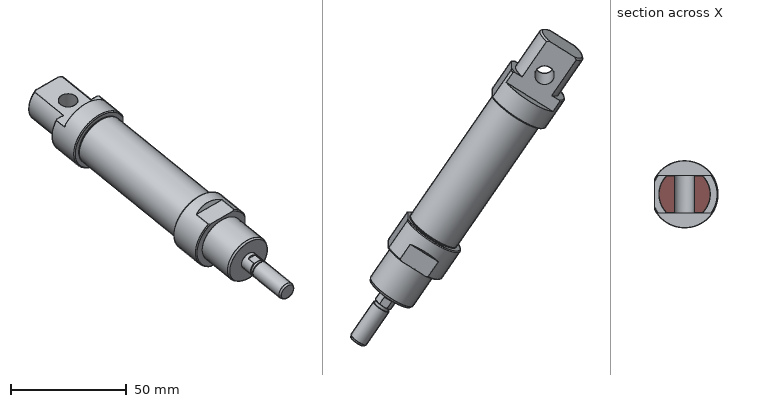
import cadquery as cq
import math


REAR_CAP_START = 20.0
CLEVIS_FLAT_END = 25.8
BARREL_START = 35.9
BARREL_END = 101.1
FRONT_CAP_END = 117.0
NOSE_END = 134.9
ROD_GROOVE_START = 140.9
ROD_THREAD_START = 142.3
ROD_END = 161.0

CAP_RADIUS = 14.5
BARREL_RADIUS = 12.0
NECK_RADIUS = 11.1
ROD_RADIUS = 4.0
ROD_GROOVE_RADIUS = 3.5

CAP_CHAMFER = 0.5
TONGUE_CHAMFER = 0.8
END_CHAMFER_LENGTH = 1.0
END_CHAMFER_DEPTH = 0.5

COLLAR_LENGTH = 0.5

CAP_SIDE_FLAT = 13.0
CLEVIS_HALF_HEIGHT = 8.0
CLEVIS_HOLE_DIAMETER = 8.4
CLEVIS_HOLE_X = 14.0
CAP_WRENCH_HALF_HEIGHT = 12.5
CAP_WRENCH_START = 108.5
ROD_WRENCH_HALF_HEIGHT = 3.5
ROD_WRENCH_START = 137.0
WRENCH_SHOULDER_ANGLE = 60.0


def cylinder(start, end, radius):
    """Round bar on the X axis between two stations."""
    return cq.Workplane("YZ", origin=(start, 0, 0)).circle(radius).extrude(end - start)


def chamfered_tip(bar):
    """Bar with a long, shallow chamfer around its +X end."""
    return bar.faces(">X").edges().chamfer(END_CHAMFER_LENGTH, END_CHAMFER_DEPTH)


def wrench_flats(start, end, half_height):
    """Pair of flats above and below the axis, each with a sloping shoulder at its inner end."""
    height = CAP_RADIUS
    shoulder_run = height / math.tan(math.radians(WRENCH_SHOULDER_ANGLE))
    upper = (
        cq.Workplane("XZ")
        .moveTo(start, half_height)
        .lineTo(end, half_height)
        .lineTo(end, half_height + height)
        .lineTo(start - shoulder_run, half_height + height)
        .close()
        .extrude(CAP_RADIUS, both=True)
    )
    return upper.union(upper.mirror("XY"))


def side_flat(start, end):
    """Material beyond the flat on the +Y side of a cap."""
    block = cq.Workplane("XY").box(end - start, CAP_RADIUS, 2 * CAP_RADIUS, centered=(False, False, True))
    return block.translate((start, CAP_SIDE_FLAT, 0))


def clevis_flats():
    """Material above and below the clevis tongue, removed back to a square shoulder in the cap."""
    width = 2 * CAP_RADIUS
    whole = cq.Workplane("XY").box(CLEVIS_FLAT_END, width, width, centered=(False, True, True))
    kept = cq.Workplane("XY").box(
        CLEVIS_FLAT_END, width, 2 * CLEVIS_HALF_HEIGHT, centered=(False, True, True)
    )
    return whole.cut(kept)


def make_rear_cap():
    cap_end = BARREL_START - COLLAR_LENGTH
    tongue = cylinder(0, REAR_CAP_START, NECK_RADIUS).faces("<X").chamfer(TONGUE_CHAMFER)
    cap = cylinder(REAR_CAP_START, cap_end, CAP_RADIUS).edges().chamfer(CAP_CHAMFER)
    cap = cap.cut(side_flat(REAR_CAP_START, cap_end))
    collar = cylinder(cap_end, BARREL_START, BARREL_RADIUS)
    hole = cq.Workplane("XY").center(CLEVIS_HOLE_X, 0).circle(CLEVIS_HOLE_DIAMETER / 2)
    hole = hole.extrude(CAP_RADIUS, both=True)
    body = tongue.union(cap).union(collar)
    return body.cut(clevis_flats()).cut(hole)


def make_barrel():
    return cylinder(BARREL_START, BARREL_END, BARREL_RADIUS)


def make_front_cap():
    cap_start = BARREL_END + COLLAR_LENGTH
    collar = cylinder(BARREL_END, cap_start, BARREL_RADIUS)
    cap = cylinder(cap_start, FRONT_CAP_END, CAP_RADIUS).edges().chamfer(CAP_CHAMFER)
    cap = cap.cut(side_flat(cap_start, FRONT_CAP_END))
    cap = cap.cut(wrench_flats(CAP_WRENCH_START, FRONT_CAP_END, CAP_WRENCH_HALF_HEIGHT))
    nose = chamfered_tip(cylinder(FRONT_CAP_END, NOSE_END, NECK_RADIUS))
    return collar.union(cap).union(nose)


def make_rod():
    shank = cylinder(NOSE_END, ROD_GROOVE_START, ROD_RADIUS)
    shank = shank.cut(wrench_flats(ROD_WRENCH_START, ROD_GROOVE_START, ROD_WRENCH_HALF_HEIGHT))
    groove = cylinder(ROD_GROOVE_START, ROD_THREAD_START, ROD_GROOVE_RADIUS)
    thread = chamfered_tip(cylinder(ROD_THREAD_START, ROD_END, ROD_RADIUS))
    return shank.union(groove).union(thread)


rear_cap = make_rear_cap()
barrel = make_barrel()
front_cap = make_front_cap()
rod = make_rod()

result = cq.Compound.makeCompound([rear_cap.val(), barrel.val(), front_cap.val(), rod.val()])